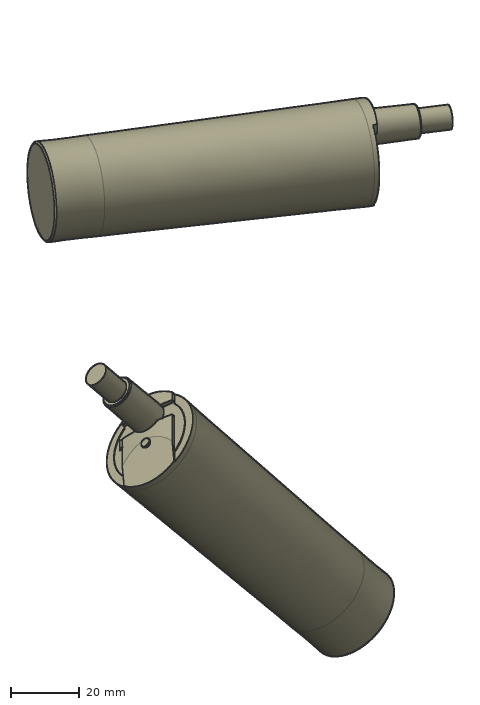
import cadquery as cq

total_length = 124.5

rim_radius = 15.9
joint_radius = 15.0
waist_radius = 14.8
joint_y = 15.1
rim_start_y = 97.0
rim_y = 98.6
front_bevel_width = 0.6
front_bevel_depth = 0.5

plate_radius = 13.1
plate_height = 0.2
land_half_width = 9.2
land_height = 1.9
land_y = rim_y + land_height
land_slope_start_z = -0.6
land_edge_drop = 0.6
embed = 1.2

cable_z = 8.0
cable_diameter = 7.5
sleeve_diameter = 10.3
sleeve_base_diameter = 10.8
sleeve_end_y = 114.7
sleeve_bevel = 0.4

slot_bottom_z = 4.5
slot_top_z = 10.0

button_diameter = 3.0
button_z = -2.2
button_height = 0.4
lug_length = 3.0
lug_width = 1.7
lug_flat_width = 1.0
lug_height = 1.1


def revolved_body():
    front_radius = joint_radius - front_bevel_width
    waist_y = (front_bevel_depth + joint_y) / 2
    profile = (
        cq.Workplane("XY")
        .moveTo(0, 0)
        .lineTo(front_radius, 0)
        .lineTo(joint_radius, front_bevel_depth)
        .threePointArc((waist_radius, waist_y), (joint_radius, joint_y))
        .lineTo(rim_radius, rim_start_y)
        .lineTo(rim_radius, rim_y)
        .lineTo(plate_radius, rim_y)
        .lineTo(plate_radius, rim_y + plate_height)
        .lineTo(0, rim_y + plate_height)
        .close()
    )
    return profile.revolve(360, (0, 0, 0), (0, 1, 0))


def rear_cylinder(diameter, start_y, end_y, z):
    """Cylinder along Y on the symmetry plane x = 0."""
    plane = cq.Plane(origin=(0, start_y, z), xDir=(1, 0, 0), normal=(0, 1, 0))
    return cq.Workplane(plane).circle(diameter / 2).extrude(end_y - start_y)


def raised_land():
    """Land across the rear face, crowned across X and sloping down to the rim at the bottom."""
    side_profile = (
        cq.Workplane("YZ")
        .moveTo(rim_y - embed, -rim_radius)
        .lineTo(rim_y, -rim_radius)
        .lineTo(land_y, land_slope_start_z)
        .lineTo(land_y, rim_radius)
        .lineTo(rim_y - embed, rim_radius)
        .close()
        .extrude(land_half_width, both=True)
    )
    edge_y = land_y - land_edge_drop
    crown = (
        cq.Workplane("XY")
        .moveTo(-land_half_width, rim_y - embed)
        .lineTo(-land_half_width, edge_y)
        .threePointArc((0, land_y), (land_half_width, edge_y))
        .lineTo(land_half_width, rim_y - embed)
        .close()
        .extrude(rim_radius, both=True)
    )
    rim_disc = rear_cylinder(2 * rim_radius, rim_y - embed, land_y, 0)
    return side_profile.intersect(crown).intersect(rim_disc)


def sleeve_slot():
    """Cross slot that frees both sides of the sleeve down to the end plate."""
    height = slot_top_z - slot_bottom_z
    return (
        cq.Workplane("XY")
        .box(2 * land_half_width, land_height, height, centered=(True, False, False))
        .translate((0, rim_y + plate_height, slot_bottom_z))
    )


def side_lug():
    """Small bevelled lug on the +X side of the land, below the slot."""
    return (
        cq.Workplane("XY")
        .workplane(offset=slot_bottom_z - lug_length)
        .moveTo(land_half_width - embed, rim_y)
        .lineTo(land_half_width + lug_width, rim_y)
        .lineTo(land_half_width + lug_flat_width, rim_y + lug_height)
        .lineTo(land_half_width - embed, rim_y + lug_height)
        .close()
        .extrude(lug_length)
    )


def cable_outlet():
    """Sleeve that narrows slightly towards its bevelled end, with the thinner cable beyond it."""
    base_y = rim_y - embed
    sleeve = (
        cq.Workplane("XY")
        .moveTo(0, base_y)
        .lineTo(sleeve_base_diameter / 2, base_y)
        .lineTo(sleeve_diameter / 2, sleeve_end_y - sleeve_bevel)
        .lineTo(sleeve_diameter / 2 - sleeve_bevel, sleeve_end_y)
        .lineTo(0, sleeve_end_y)
        .close()
        .revolve(360, (0, 0, 0), (0, 1, 0))
        .translate((0, 0, cable_z))
    )
    return sleeve.union(rear_cylinder(cable_diameter, base_y, total_length, cable_z))


land = raised_land().cut(sleeve_slot())
button = rear_cylinder(button_diameter, rim_y, land_y + button_height, button_z)
result = revolved_body().union(land).union(side_lug()).union(button).union(cable_outlet())